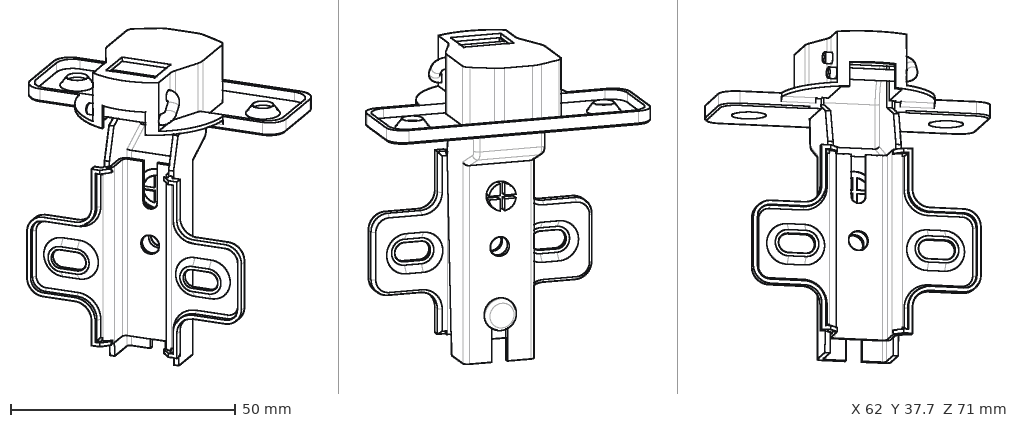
import cadquery as cq
import math


cup_radius = 17.5
plate_width = 62.0
plate_back = 20.2
plate_front = -1.2
plate_top = -11.6
plate_bottom = -14.8
plate_corner_radius = 4.0
plate_rim = 1.0
plate_floor = 1.0
plate_edge_chamfer = 0.4
plate_boss_x = 22.5
plate_boss_y = 9.6
plate_boss_radius = 3.8
plate_boss_height = 2.0
plate_hole_radius = 2.35

lip_thickness = 0.9
lip_fillet = 1.0
lip_fillet_gap_half_width = 9.65
body_half_width = 11.6
body_back = 16.75
body_back_half_width = 4.5
body_shoulder_y = 13.2
body_waist_y = 0.1
body_neck_y = -8.0
body_neck_half_width = 7.95
body_soft_radius = 5
body_shoulder_radius = 2.0
cup_wall = 1.0
cup_ceiling = 1.0
window_half_width = 5.9
window_back = -3.8
window_front = -12.9
mouth_half_width = 5.25
mouth_top = -7.0

arm_half_width = 8.4
arm_sheet = 1.2
arm_upper_back = 11.35
arm_lower_back = 3.8
arm_top_bend_radius = 9.95
arm_step_top_z = -21.8
arm_step_bottom_z = -25.3
arm_bottom = -71
arm_knee_radius = 2.4
arm_edge_fillet = 1.15
arm_inner_fillet = 0.8
arm_front_edge = [(-5, arm_bottom), (-8.0, -25.3), (-8.0, -23.6), (-5.5, -16.05), (1.4, -13.3)]
arm_slot_half_width = 1.85
tongue_notch_back = -9.65
tongue_notch_half_width = 5.6

base_top = -24.9
base_height = 42.0
base_half_width = 10.4
base_front = -10.8
base_back = -8.1
base_sheet = 0.8
wing_sheet = 1.1
base_rim = 0.9
base_outer_chamfer = 0.85
base_inner_chamfer = 0.65
wing_half_width = 26.0
wing_centre_z = -47.6
wing_height = 18.9
wing_corner_radius = 4.0
channel_web_front = -1.8
channel_web_fillet = 0.9
channel_lip_radius = 1.9
channel_lip_overlap = 0.15
boss_x = 16.0
boss_half_straight = 2.0
boss_foot_radius = 4.6
boss_top_radius = 3.0
boss_hole_radius = 2.2
boss_height = 1.4
centre_hole_radius = 2.2
centre_hole_z = -44.5
notch_half_width = 1.7
notch_end_z = -36.0

pin_radius = 1.3
pin_upper_y = -9.95
pin_upper_z = -5
pin_lower_y = -14.1
pin_lower_z = -9.2
pin_tip_x = -9.9
pin_outer_x = 11.0
pin_bend_radius = 2.0
pin_tip_chamfer = 0.35

cam_z = -32.65
cam_flange_radius = 4.7
cam_flange_thickness = 0.3
cam_radius = 3.2
cam_back = 5.75
cam_post_front_height = 0.5
cam_slot_width = 0.85
cam_split_width = 1.1
screw_z = -60.0
screw_head_radius = 3.7
screw_head_height = 1.35
screw_head_fillet = 0.85

neck_cavity_half_width = body_neck_half_width - cup_wall
base_bottom = base_top - base_height
arm_bend_y = arm_upper_back - arm_top_bend_radius
tongue_bottom = -cup_ceiling - arm_sheet
arm_inner_half_width = arm_half_width - arm_sheet
arm_web_front = arm_lower_back - arm_sheet
base_floor_front = base_back - wing_sheet
channel_web_back = channel_web_front + base_sheet
channel_inner_half_width = arm_inner_half_width - base_sheet
lip_bottom = plate_top - lip_thickness
plate_floor_top = plate_bottom + plate_floor


def box(x0, x1, y0, y1, z0, z1):
    """Block between the given limits."""
    return cq.Workplane("XY").box(x1 - x0, y1 - y0, z1 - z0, centered=False).translate((x0, y0, z0))


def cylinder_along_y(radius, y0, y1, z):
    """Cylinder on the hinge's middle plane, from y0 back to y1."""
    return cq.Workplane("XZ", origin=(0, y1, z)).circle(radius).extrude(y1 - y0)


def round_edges(solid, direction, radius, places):
    """Round those of the edges parallel to one axis that lie at one of the given places.

    A place gives the two coordinates across the edge, in the order X, Y, Z.
    """
    tolerance = 0.01

    def at_place(edge):
        x, y, z = edge.Center().toTuple()
        point = {"|X": (y, z), "|Y": (x, z), "|Z": (x, y)}[direction]
        return any(math.dist(point, place) < tolerance for place in places)

    return solid.newObject([edge for edge in solid.edges(direction).vals() if at_place(edge)]).fillet(radius)


def both_sides(x, y):
    """The place (x, y) and its mirror image across the middle plane."""
    return [(-x, y), (x, y)]


def plate_tray():
    """Flange plate with a raised rim around its recessed floor."""
    depth = plate_back - plate_front
    middle = (plate_back + plate_front) / 2
    tray = (
        cq.Workplane("XY", origin=(0, middle, plate_bottom))
        .rect(plate_width, depth)
        .extrude(plate_top - plate_bottom)
        .edges("|Z")
        .fillet(plate_corner_radius)
        .faces("<Z")
        .chamfer(plate_edge_chamfer)
    )
    recess = (
        cq.Workplane("XY", origin=(0, middle, plate_floor_top))
        .rect(plate_width - 2 * plate_rim, depth - 2 * plate_rim)
        .extrude(plate_top - plate_floor_top)
        .edges("|Z")
        .fillet(plate_corner_radius)
    )
    return tray.cut(recess)


def add_plate_bosses(cup):
    """Conical screw bosses on the plate floor, each with a through hole."""
    taper = math.degrees(math.atan((plate_boss_radius - plate_hole_radius) / plate_boss_height))
    for side in (-1, 1):
        foot = cq.Workplane("XY", origin=(side * plate_boss_x, plate_boss_y, plate_floor_top))
        boss = foot.circle(plate_boss_radius).extrude(plate_boss_height, taper=taper)
        hole = foot.workplane(offset=-plate_floor).circle(plate_hole_radius)
        cup = cup.union(boss).cut(boss.translate((0, 0, -plate_floor)))
        cup = cup.cut(hole.extrude(plate_floor + plate_boss_height))
    return cup


def cup_body():
    """Bottle-shaped body whose front is rounded by the cup circle."""
    right_side = [
        (body_back_half_width, body_back),
        (body_half_width, body_shoulder_y),
        (body_half_width, body_waist_y),
        (body_neck_half_width, body_neck_y),
        (body_neck_half_width, -cup_radius),
    ]
    left_side = [(-x, y) for x, y in reversed(right_side)]
    body = cq.Workplane("XY", origin=(0, 0, lip_bottom)).polyline(right_side + left_side).close()
    body = body.extrude(-lip_bottom)
    body = round_edges(body, "|Z", body_shoulder_radius, both_sides(body_half_width, body_shoulder_y))
    soft_corners = (
        both_sides(body_back_half_width, body_back)
        + both_sides(body_half_width, body_waist_y)
        + both_sides(body_neck_half_width, body_neck_y)
    )
    body = round_edges(body, "|Z", body_soft_radius, soft_corners)
    behind_plate_front = box(-cup_radius, cup_radius, plate_front, plate_back, plate_bottom, 0)
    behind_axis = box(-cup_radius, cup_radius, 0, plate_back, plate_bottom, 0)
    foot = body.faces("<Z").wires().toPending().extrude(plate_bottom - lip_bottom, combine=False)
    body = body.union(foot.intersect(behind_plate_front))
    front = cq.Workplane("XY", origin=(0, 0, plate_bottom)).circle(cup_radius).extrude(-plate_bottom)
    return body.intersect(front.union(behind_axis))


def cup_lip():
    """Round lip in front of the plate, with a fillet under it along the plate."""
    lip = cq.Workplane("XY", origin=(0, 0, lip_bottom)).circle(cup_radius).extrude(lip_thickness)
    lip = lip.intersect(box(-cup_radius, cup_radius, -cup_radius, plate_front, lip_bottom, plate_top))
    corner = box(-cup_radius, cup_radius, plate_front - lip_fillet, plate_front,
                 lip_bottom - lip_fillet, lip_bottom)
    round_cut = (
        cq.Workplane("YZ", origin=(-cup_radius, plate_front - lip_fillet, lip_bottom - lip_fillet))
        .circle(lip_fillet)
        .extrude(2 * cup_radius)
    )
    gap = box(-lip_fillet_gap_half_width, lip_fillet_gap_half_width, -cup_radius, plate_front,
              plate_bottom, lip_bottom)
    return lip.union(corner.cut(round_cut).cut(gap))


def cup_cavity():
    """Space for the arm, the window above its tongue and the mouth in the front wall."""
    arm_room = box(-arm_half_width, arm_half_width, plate_front - lip_fillet, arm_upper_back,
                   plate_bottom, -cup_ceiling)
    neck = box(-neck_cavity_half_width, neck_cavity_half_width, -cup_radius, 0, plate_bottom, -cup_ceiling)
    round_room = cq.Workplane("XY", origin=(0, 0, plate_bottom)).circle(cup_radius - cup_wall)
    neck = neck.intersect(round_room.extrude(-plate_bottom))
    window = box(-window_half_width, window_half_width, window_front, window_back, -cup_ceiling, 0)
    mouth = box(-mouth_half_width, mouth_half_width, -cup_radius, window_front, plate_bottom, mouth_top)
    return arm_room.union(neck).union(window).union(mouth)


def make_cup(pin):
    """Flange plate, lip and body in one, with the cavity and the pin's holes."""
    cup = plate_tray().union(cup_lip())
    cup = add_plate_bosses(cup).union(cup_body())
    return cup.cut(cup_cavity()).cut(pin)


def arm_profile(inset):
    """Side outline of the arm, its back set in by the given sheet thickness."""
    step_turn = math.atan2(arm_upper_back - arm_lower_back, arm_step_top_z - arm_step_bottom_z)
    rise = inset * math.tan(step_turn / 2)
    top = -cup_ceiling - inset
    bend = arm_top_bend_radius - inset
    bend_z = -cup_ceiling - arm_top_bend_radius
    diagonal = bend * math.sqrt(0.5)
    return (
        cq.Workplane("YZ")
        .moveTo(arm_bend_y, top)
        .threePointArc((arm_bend_y + diagonal, bend_z + diagonal), (arm_bend_y + bend, bend_z))
        .lineTo(arm_upper_back - inset, arm_step_top_z + rise)
        .lineTo(arm_lower_back - inset, arm_step_bottom_z + rise)
        .lineTo(arm_lower_back - inset, arm_bottom)
        .polyline(arm_front_edge, includeCurrent=True)
        .close()
    )


def arm_prism(inset, half_width, knee_radius, edge_fillet):
    """Full-width arm shape with its two back edges rounded, and its knee if a radius is given."""
    prism = arm_profile(inset).extrude(half_width, both=True)
    if knee_radius > 0:
        prism = round_edges(prism, "|X", knee_radius, [(arm_upper_back - inset, arm_step_top_z)])
    tolerance = 0.1
    back_y = arm_lower_back - inset
    side_edges = prism.faces("<X or >X").edges().vals()
    back_edges = [
        edge for edge in side_edges
        if edge.Center().y > back_y - tolerance and abs(edge.Center().z - arm_bottom) > tolerance
    ]
    return prism.newObject(back_edges).fillet(edge_fillet)


def make_arm(base):
    """Channel-shaped arm with a forked tongue at its top and three openings in its web."""
    arm = arm_prism(0, arm_half_width, arm_knee_radius, arm_edge_fillet)
    arm = arm.cut(arm_prism(arm_sheet, arm_inner_half_width, 0, arm_inner_fillet))
    tongue = box(-neck_cavity_half_width, neck_cavity_half_width, window_front, arm_bend_y,
                 tongue_bottom, -cup_ceiling)
    notch = box(-tongue_notch_half_width, tongue_notch_half_width, window_front, tongue_notch_back,
                tongue_bottom, -cup_ceiling)
    arm = arm.union(tongue.cut(notch))
    slot = box(-arm_slot_half_width, arm_slot_half_width, arm_web_front, arm_lower_back,
               arm_bottom, screw_z)
    slot = slot.union(cylinder_along_y(arm_slot_half_width, arm_web_front, arm_lower_back, screw_z))
    centre_hole = cylinder_along_y(centre_hole_radius, arm_web_front, arm_lower_back, centre_hole_z)
    cam_hole = cylinder_along_y(cam_radius, arm_web_front, arm_lower_back, cam_z)
    arm = arm.cut(slot).cut(centre_hole).cut(cam_hole)
    return arm.cut(base)


def cross_outline(inset, y, depth):
    """Prism of the cross-shaped outline, shrunk by inset, running back from y."""
    half_height = wing_height / 2
    strip = box(-base_half_width, base_half_width, y, y + depth, base_bottom, base_top)
    wings = box(-wing_half_width, wing_half_width, y, y + depth,
                wing_centre_z - half_height, wing_centre_z + half_height)
    wings = wings.edges("|Y").fillet(wing_corner_radius)
    cross = strip.union(wings)
    inner_corners = (
        both_sides(base_half_width, wing_centre_z - half_height)
        + both_sides(base_half_width, wing_centre_z + half_height)
    )
    cross = round_edges(cross, "|Y", wing_corner_radius, inner_corners)
    if inset == 0:
        return cross
    outline = cross.faces("<Y").wires().val().offset2D(-inset)[0]
    return cq.Workplane("XZ").add(outline).toPending().extrude(-depth)


def base_channel():
    """Bent sheet that dips between the arm's walls and joins the two wings."""
    wall_in = channel_inner_half_width
    wall_out = arm_inner_half_width
    lip_end = wall_in + channel_lip_radius
    sheet_end = lip_end + channel_lip_overlap
    front = cq.Workplane("XY", origin=(0, 0, base_bottom))
    sheet = front.polyline([
        (-sheet_end, base_floor_front), (-wall_in, base_floor_front), (-wall_in, channel_web_front),
        (wall_in, channel_web_front), (wall_in, base_floor_front), (sheet_end, base_floor_front),
        (sheet_end, base_back), (wall_out, base_back), (wall_out, channel_web_back),
        (-wall_out, channel_web_back), (-wall_out, base_back), (-sheet_end, base_back),
    ]).close().extrude(base_height)

    sheet = round_edges(sheet, "|Z", lip_end - wall_out, both_sides(wall_out, base_back))
    sheet = round_edges(sheet, "|Z", channel_lip_radius, both_sides(wall_in, base_floor_front))
    sheet = round_edges(sheet, "|Z", channel_web_fillet, both_sides(wall_in, channel_web_front))
    outer_radius = channel_web_fillet + base_sheet
    return round_edges(sheet, "|Z", outer_radius, both_sides(wall_out, channel_web_back))


def slotted_prism(radius, height, y, side, taper=0):
    """Round-ended prism running forward from y, centred on a wing."""
    return (
        cq.Workplane("XZ", origin=(side * boss_x, y, wing_centre_z))
        .slot2D(2 * (boss_half_straight + radius), 2 * radius)
        .extrude(height, taper=taper)
    )


def make_base():
    """Rimmed cross-shaped tray with slotted bosses on its wings and a channel between them."""
    tray = cross_outline(0, base_front, base_back - base_front).faces(">Y").chamfer(base_outer_chamfer)
    recess = cross_outline(base_rim, base_front, base_floor_front - base_front)
    recess = recess.faces(">Y").chamfer(base_inner_chamfer)
    lip_end = channel_inner_half_width + channel_lip_radius
    gap = box(-lip_end, lip_end, base_front, base_back, base_bottom + base_rim, base_top - base_rim)
    wall = channel_inner_half_width
    corner_y = base_front + channel_lip_radius
    mouth = cq.Workplane("XY", origin=(0, 0, base_bottom)).polyline([
        (-lip_end, base_front), (lip_end, base_front), (wall, corner_y), (wall, base_back),
        (-wall, base_back), (-wall, corner_y),
    ]).close().extrude(base_height)
    base = tray.cut(recess).cut(gap).cut(mouth).union(base_channel())
    taper = math.degrees(math.atan((boss_foot_radius - boss_top_radius) / boss_height))
    for side in (-1, 1):
        base = base.union(slotted_prism(boss_foot_radius, boss_height, base_floor_front, side, taper))
        base = base.cut(slotted_prism(boss_foot_radius, boss_height, base_back, side, taper))
        base = base.cut(slotted_prism(boss_hole_radius, wing_sheet + boss_height, base_back, side))
    base = base.cut(cylinder_along_y(centre_hole_radius, channel_web_front, channel_web_back, centre_hole_z))
    round_z = notch_end_z + notch_half_width
    notch = box(-notch_half_width, notch_half_width, channel_web_front, channel_web_back, round_z, base_top)
    notch = notch.union(cylinder_along_y(notch_half_width, channel_web_front, channel_web_back, round_z))
    return base.cut(notch)


def make_pin():
    """Bent wire: two legs along X joined by a sloping bar on the +X side."""
    span = math.hypot(pin_upper_y - pin_lower_y, pin_upper_z - pin_lower_z)
    slope = cq.Vector(0, pin_lower_y - pin_upper_y, pin_lower_z - pin_upper_z).normalized()
    along = cq.Vector(1, 0, 0)
    plane = cq.Plane(origin=(0, pin_upper_y, pin_upper_z), xDir=along, normal=along.cross(slope))
    bar_x = pin_outer_x - pin_radius
    bend_x = bar_x - pin_bend_radius
    diagonal = pin_bend_radius * math.sqrt(0.5)
    path = (
        cq.Workplane(plane)
        .moveTo(pin_tip_x, 0)
        .lineTo(bend_x, 0)
        .threePointArc((bend_x + diagonal, pin_bend_radius - diagonal), (bar_x, pin_bend_radius))
        .lineTo(bar_x, span - pin_bend_radius)
        .threePointArc((bend_x + diagonal, span - pin_bend_radius + diagonal), (bend_x, span))
        .lineTo(pin_tip_x, span)
    )
    wire = cq.Workplane("YZ", origin=(pin_tip_x, pin_upper_y, pin_upper_z)).circle(pin_radius).sweep(path)
    return wire.faces("<X").chamfer(pin_tip_chamfer)


def make_cam():
    """Flanged cam in the arm's web, with four quarter posts on both ends."""
    flange_front = arm_web_front - cam_flange_thickness
    post_front = flange_front - cam_post_front_height
    cam = cylinder_along_y(cam_radius, post_front, cam_back, cam_z)
    across = box(-cam_radius, cam_radius, post_front, cam_back,
                 cam_z - cam_slot_width / 2, cam_z + cam_slot_width / 2)
    upright = box(-cam_split_width / 2, cam_split_width / 2, post_front, cam_back,
                  cam_z - cam_radius, cam_z + cam_radius)
    cam = cam.cut(across).cut(upright)
    cam = cam.union(cylinder_along_y(cam_radius, flange_front, arm_lower_back, cam_z))
    return cam.union(cylinder_along_y(cam_flange_radius, flange_front, arm_web_front, cam_z))


def make_screw():
    """Clamp screw whose shank crosses the arm's slot and meets the base channel."""
    head_back = arm_lower_back + screw_head_height
    head = cylinder_along_y(screw_head_radius, arm_lower_back, head_back, screw_z)
    head = head.faces(">Y").edges().fillet(screw_head_fillet)
    return head.union(cylinder_along_y(arm_slot_half_width, channel_web_back, arm_lower_back, screw_z))


pin = make_pin()
cup = make_cup(pin)
base = make_base()
arm = make_arm(base)
cam = make_cam()
screw = make_screw()

bodies = [cup, arm, base, pin, cam, screw]
result = cq.Compound.makeCompound([body.solids().val() for body in bodies])